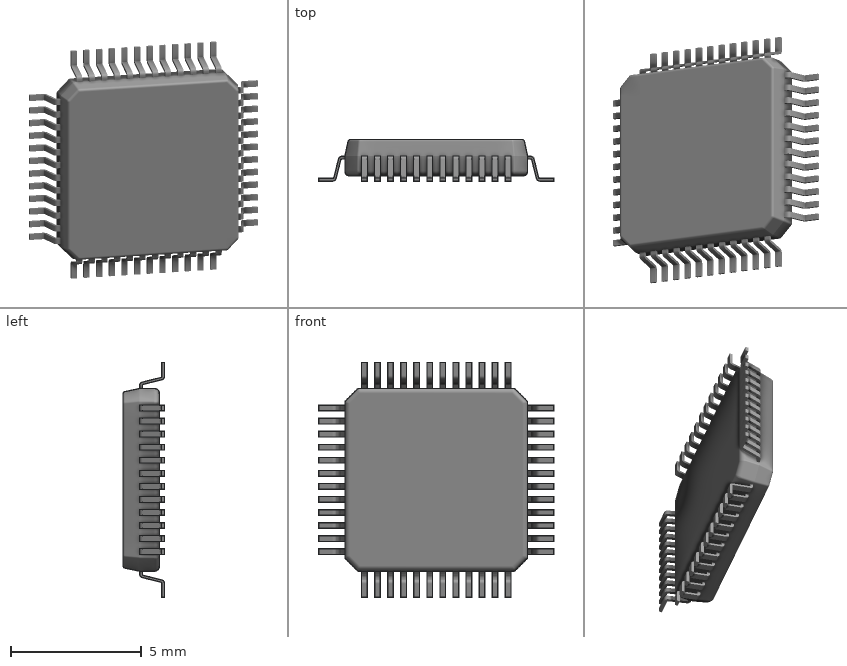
import cadquery as cq
import math


span = 9.0
height = 1.6

body_width = 7.0
standoff = 0.2
parting_y = 0.96
taper_angle = 12.0
corner_chamfer = 0.5
corner_radius = 0.1
underside_radius = 0.2
top_radius = 0.11

leads_per_side = 12
lead_row_length = 5.5
lead_pitch = lead_row_length / (leads_per_side - 1)
lead_width = 0.225
lead_thickness = 0.12
leg_thickness = 0.1
leg_angle = 14.0
bend_outer_radius = 0.15
bend_inner_radius = 0.03
shoulder_length = 0.14
lead_embed = 0.18


def body_half(start_y, end_y, taper):
    """One half of the body: a square with chamfered corners, extruded along Y."""
    depth = end_y - start_y
    half = body_width / 2
    flat = half - corner_chamfer
    outline = [
        (flat, half), (half, flat), (half, -flat), (flat, -half),
        (-flat, -half), (-half, -flat), (-half, flat), (-flat, half),
    ]
    plane = cq.Workplane("XZ", origin=(0, start_y, 0))
    return plane.polyline(outline).close().extrude(-depth, taper=taper)


def make_body():
    """Both halves joined, with rounded corners, underside rim and top rim."""
    body = body_half(standoff, parting_y, 0).union(body_half(parting_y, height, taper_angle))
    body = body.edges("not #Y").fillet(corner_radius)
    body = body.faces("<Y").edges().fillet(underside_radius)
    return body.faces(">Y").edges().fillet(top_radius)


def make_lead():
    """Gull-wing lead on the +X side, centred on Z = 0: shoulder, sloping leg and foot."""
    lean = math.radians(leg_angle)
    shoulder_bottom_y = parting_y - lead_thickness
    shoulder_end_x = body_width / 2 + shoulder_length

    def inner_face_x(y):
        """X of the leg face towards the body, which starts at the shoulder underside."""
        return shoulder_end_x + (shoulder_bottom_y - y) * math.tan(lean)

    def outer_face_x(y):
        """X of the leg face away from the body."""
        return inner_face_x(y) + leg_thickness / math.cos(lean)

    root_x = body_width / 2 - lead_embed
    tip_x = span / 2
    shoulder_corner = (outer_face_x(parting_y), parting_y)
    foot_inner_corner = (outer_face_x(lead_thickness), lead_thickness)
    heel_corner = (inner_face_x(0), 0)
    underarm_corner = (shoulder_end_x, shoulder_bottom_y)
    outline = [
        (root_x, parting_y), shoulder_corner, foot_inner_corner, (tip_x, lead_thickness),
        (tip_x, 0), heel_corner, underarm_corner, (root_x, shoulder_bottom_y),
    ]
    lead = cq.Workplane("XY").polyline(outline).close().extrude(lead_width / 2, both=True)

    bends = [
        (shoulder_corner, bend_outer_radius),
        (heel_corner, bend_outer_radius),
        (underarm_corner, bend_inner_radius),
        (foot_inner_corner, bend_inner_radius),
    ]
    for corner, radius in bends:
        lead = lead.edges(cq.NearestToPointSelector((*corner, 0))).fillet(radius)
    return lead


def make_leads():
    """The row of leads on each of the four sides."""
    lead = make_lead().val()
    first_z = -lead_row_length / 2
    leads = []
    for side in range(4):
        for index in range(leads_per_side):
            placed = lead.translate(cq.Vector(0, 0, first_z + index * lead_pitch))
            leads.append(placed.rotate(cq.Vector(0, 0, 0), cq.Vector(0, 1, 0), 90 * side))
    return leads


result = cq.Workplane(obj=make_body().val().fuse(*make_leads()))